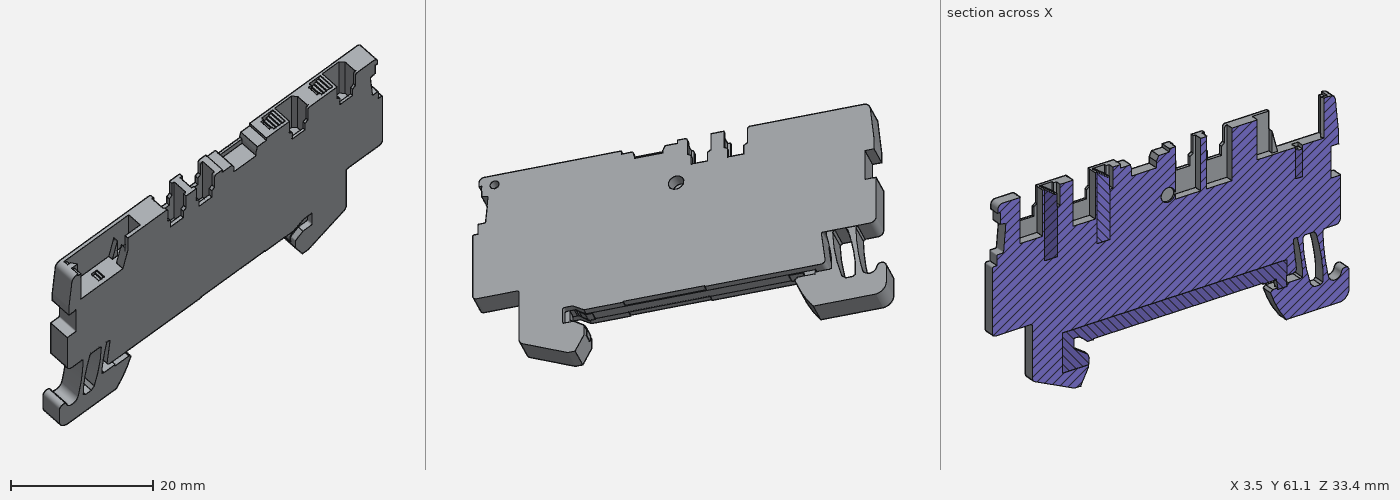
import cadquery as cq
import math

thickness = 3.5
top_z = 33.35
wing_z = 12.5
rail_z = 7.0
hook_notch_z = 8.05
wall = 0.55
rear_y = 30.54
front_y = -29.05
foot_end_y = -30.54
foot_setback = 0.05

notch_width = 3.45
notch_neck_width = 2.4
notch_step_z = 30.4
notch_floor_z = 28.75
notch_step_bevel = 0.2
notch_rounding = 0.45
bridge_slot_length = 4.25
bridge_slot_floor_z = 25.0
bridge_centres = (-2.93, -8.3)
bridge_rounded_sides = (1, -1)

groove_rear_y, groove_front_y = 6.65, 2.5
groove_step_z = 32.8
groove_floor_z = 31.95
groove_relief_width = 0.15
groove_relief_depth = 0.25
groove_pocket_depth = 1.0

wire_pitch = 9.0
wire_count = 2
wire_rear_y = 25.72
wire_length = 3.76
wire_x_min, wire_x_max = 0.4, 3.1
wire_floor_z = 26.0
wire_corner = 0.6
wire_notch_shift = 0.15
button_gap = 0.4
button_length = 2.1
button_x_min, button_x_max = 0.45, 3.0
button_bottom_z = 22.0
button_top_drop = 0.15
button_steps = 5
button_step_drop = 0.3
tool_notch_length = 0.5
tool_notch_x_min, tool_notch_x_max = 0.85, 2.6
tool_notch_floor_z = 30.0

bay_rear_y, bay_neck_y, bay_front_y = -14.78, -17.6, -26.5
bay_neck_length = 0.94
bay_neck_x_min, bay_neck_x_max = 1.3, 2.15
bay_floor_z = 27.0
ramp_top_z = 30.5
rib_length = 0.6
ledge_y = -27.0
ledge_drop = 0.4
clip_y_min, clip_y_max = -22.46, -21.4
clip_x_min, clip_x_max = 1.23, 2.77
clip_bottom_z = 22.0
clip_drop = 0.3
clip_step_y = -21.75

side_holes = ((27.3, 31.7, 1.3, 1.5), (0.48, 26.0, 2.25, 2.0))

plate_x_min, plate_x_max = 1.0, 2.5
plate_top_z = 9.5
plate_rear_y = 18.5
plate_lip = 0.15
leg_rear_y, leg_front_y = -18.0, -19.8
leg_taper = 0.3
leg_tip_z = 5.33


def outline(corners):
    """Closed YZ outline from (y, z) or (y, z, radius) corners, rounded by tangent arcs."""
    count = len(corners)
    path = None
    for i, corner in enumerate(corners):
        here = cq.Vector(corner[0], corner[1])
        radius = corner[2] if len(corner) > 2 else 0
        if radius == 0:
            stops = [here]
        else:
            before = corners[i - 1]
            after = corners[(i + 1) % count]
            to_before = (cq.Vector(before[0], before[1]) - here).normalized()
            to_after = (cq.Vector(after[0], after[1]) - here).normalized()
            half_angle = to_before.getAngle(to_after) / 2
            setback = radius / math.tan(half_angle)
            bisector = (to_before + to_after).normalized()
            middle = here + bisector * (radius / math.sin(half_angle) - radius)
            stops = [here + to_before * setback, middle, here + to_after * setback]
        if path is None:
            path = cq.Workplane("YZ").moveTo(stops[0].x, stops[0].y)
        else:
            path = path.lineTo(stops[0].x, stops[0].y)
        if radius:
            path = path.threePointArc((stops[1].x, stops[1].y), (stops[2].x, stops[2].y))
    return path.close()


def block(x_min, x_max, y_min, y_max, z_min, z_max):
    size = (x_max - x_min, y_max - y_min, z_max - z_min)
    return cq.Workplane("XY").box(*size, centered=False).translate((x_min, y_min, z_min))


def wire_entry_ends():
    return [wire_rear_y - i * wire_pitch for i in range(wire_count)]


def button_rear(entry_rear_y):
    return entry_rear_y - wire_length - button_gap


def housing_profile():
    corners = [
        (29.6, top_z, 0.8), (29.6, 31.9), (29.2, 31.9), (29.2, 30.05),
        (28.25, 29.9, 0.2), (28.65, 25.4, 0.2), (29.75, 25.4, 0.2), (29.75, 23.7),
        (rear_y, 23.7, 0.3), (rear_y, wing_z, 0.6),
        (23.7, wing_z, 0.3), (23.7, 3.4, 0.9), (16.5, 0.12, 0.3), (15.4, 0.12),
        (14.06, 2.7, 0.3), (14.06, 4.35, 0.3), (15.5, 5.35), (17.25, 5.35, 0.3),
        (17.25, hook_notch_z, 0.3), (15.75, hook_notch_z, 0.3), (14.1, rail_z),
        (-21.6, rail_z, 0.6), (-20.95, wing_z, 0.25),
        (front_y, wing_z, 0.9), (front_y, 20.25), (-27.4, 20.25, 0.2),
        (-27.4, 25.25), (-28.75, 25.25), (-28.75, 27.0), (-28.1, top_z, 1.0),
    ]
    return outline(corners).extrude(thickness)


def underside_relief():
    relief_rear_y, relief_front_y = 8.3, -3.7
    return block(0, thickness, relief_front_y, relief_rear_y, rail_z, rail_z + plate_lip)


def snap_foot():
    leg_root_z = wing_z + 0.3
    leg_bend_z = 12.2
    leg_root_flare = 0.25
    trough_z = 3.85
    leg_outer_y = -26.05
    foot = (
        cq.Workplane("YZ")
        .moveTo(-21.6, leg_root_z)
        .lineTo(-21.65, leg_bend_z)
        .threePointArc((-22.15, 9.7), (-22.45, 7.4))
        .lineTo(-22.45, 6.0)
        .lineTo(-22.1, 5.87)
        .lineTo(-20.0, 5.87)
        .lineTo(-20.0, 5.55)
        .lineTo(-17.4, 5.55)
        .lineTo(-17.0, 5.15)
        .threePointArc((-18.15, 2.45), (-19.75, 0))
        .lineTo(-29.0, 0)
        .threePointArc((-30.05, 0.55), (foot_end_y, 1.9))
        .lineTo(foot_end_y, 4.7)
        .threePointArc((-29.83, 5.35), (-29.12, 4.7))
        .threePointArc((-28.1, trough_z), (-27.05, 4.55))
        .lineTo(-26.83, 5.45)
        .threePointArc((-26.4, 7.9), (leg_outer_y, leg_bend_z))
        .lineTo(leg_outer_y - leg_root_flare, wing_z)
        .lineTo(leg_outer_y - leg_root_flare, leg_root_z)
        .close()
        .extrude(thickness - foot_setback)
        .translate((foot_setback, 0, 0))
    )
    window = (
        cq.Workplane("YZ")
        .moveTo(-22.95, wing_z)
        .lineTo(-22.62, leg_bend_z)
        .threePointArc((-23.05, 8.0), (-23.95, 4.4))
        .lineTo(-24.5, trough_z)
        .lineTo(-25.6, trough_z)
        .lineTo(-25.95, 4.15)
        .lineTo(-25.95, 6.2)
        .threePointArc((-25.5, 9.4), (-24.8, leg_bend_z))
        .lineTo(-24.55, wing_z)
        .close()
        .extrude(thickness)
    )
    return foot.cut(window)


def side_notch(centre_y, x_min, x_max, rounded_side):
    """Stepped notch through a side wall, its top edge rounded on the +Y (1) or -Y (-1) side."""
    half = notch_width / 2
    half_neck = notch_neck_width / 2
    above_z = top_z + 1
    flare = half + 2 * notch_rounding
    shape = [
        (flare, above_z), (flare, top_z), (half, top_z, notch_rounding),
        (half, notch_step_z + notch_step_bevel), (half_neck, notch_step_z - notch_step_bevel),
        (half_neck, notch_floor_z), (-half_neck, notch_floor_z),
        (-half_neck, notch_step_z - notch_step_bevel), (-half, notch_step_z + notch_step_bevel),
        (-half, above_z),
    ]
    corners = [(centre_y + rounded_side * y, *rest) for y, *rest in shape]
    return outline(corners).extrude(x_max - x_min).translate((x_min, 0, 0))


def bridge_slot(centre_y, rounded_side):
    half = bridge_slot_length / 2
    shaft = block(wall, thickness - wall, centre_y - half, centre_y + half, bridge_slot_floor_z, top_z)
    return shaft.union(side_notch(centre_y, 0, thickness, rounded_side))


def marker_groove():
    corners = [
        (8.58, top_z), (8.58, groove_step_z), (6.9, groove_step_z), (groove_rear_y, groove_floor_z),
        (groove_front_y, groove_floor_z), (2.1, groove_step_z), (0.28, groove_step_z), (0.28, top_z),
    ]
    groove = outline(corners).extrude(thickness)
    relief = block(0, groove_relief_width, groove_front_y, groove_rear_y,
                   groove_floor_z - groove_relief_depth, groove_floor_z)
    pocket = block(wall, thickness, groove_front_y, groove_rear_y,
                   groove_floor_z - groove_pocket_depth, groove_floor_z)
    return groove.union(relief).union(pocket)


def wire_entry(rear):
    front = rear - wire_length
    shaft = block(wire_x_min, wire_x_max, front, rear, wire_floor_z, top_z)
    shaft = shaft.edges("|Z and <X and >Y").chamfer(wire_corner)
    return shaft.union(side_notch((rear + front) / 2 - wire_notch_shift, wire_x_max, thickness, 1))


def button_shaft(entry_rear):
    rear = button_rear(entry_rear)
    front = rear - button_length
    shaft = block(button_x_min, button_x_max, front, rear, button_bottom_z, top_z)
    tool_notch = block(tool_notch_x_min, tool_notch_x_max, front - tool_notch_length, front,
                       tool_notch_floor_z, top_z)
    return shaft.union(tool_notch)


def front_bay():
    neck_end_y = bay_neck_y - bay_neck_length
    pocket = block(wall, thickness - wall, bay_neck_y, bay_rear_y, bay_floor_z, top_z)
    neck = block(bay_neck_x_min, bay_neck_x_max, neck_end_y, bay_neck_y, bay_floor_z, top_z)
    ramp_corners = [
        (bay_neck_y, ramp_top_z), (neck_end_y, bay_floor_z), (neck_end_y, top_z), (bay_neck_y, top_z),
    ]
    ramps = outline(ramp_corners).extrude(thickness - wall).translate((wall, 0, 0))
    open_bay = block(wall, thickness, bay_front_y, neck_end_y, bay_floor_z, top_z)
    ledge = block(wall, thickness, ledge_y, bay_front_y, top_z - ledge_drop, top_z)
    rib = (
        cq.Workplane("XY", origin=(0, 0, bay_floor_z))
        .moveTo(bay_neck_x_min, ledge_y)
        .lineTo(bay_neck_x_max, ledge_y)
        .lineTo(bay_neck_x_max, bay_front_y + rib_length)
        .lineTo(bay_neck_x_min, bay_front_y)
        .close()
        .extrude(top_z - bay_floor_z)
    )
    clip_slot = block(clip_x_min, clip_x_max, clip_y_min, clip_y_max, clip_bottom_z, bay_floor_z)
    return pocket.union(neck).union(ramps).union(open_bay).union(ledge).cut(rib).union(clip_slot)


def side_hole(y, z, diameter, depth):
    return cq.Workplane("YZ").center(y, z).circle(diameter / 2).extrude(depth)


def make_rail_contact():
    lip_z = rail_z - plate_lip
    corners = [
        (plate_rear_y, plate_top_z), (plate_rear_y, 3.2), (14.0, 3.2), (13.9, 4.2, 0.3), (14.2, 4.9, 0.3),
        (16.5, 6.45), (16.5, hook_notch_z), (15.6, hook_notch_z),
        (14.2, lip_z), (13.2, lip_z), (13.2, rail_z), (-15.8, rail_z), (-15.8, lip_z), (-17.9, lip_z),
        (-17.9, rail_z), (leg_rear_y, rail_z), (leg_rear_y - leg_taper, leg_tip_z),
        (leg_front_y, leg_tip_z), (leg_front_y, plate_top_z),
    ]
    return outline(corners).extrude(plate_x_max - plate_x_min).translate((plate_x_min, 0, 0))


def make_push_button(entry_rear):
    """Plunger whose top descends in steps towards -Y."""
    rear = button_rear(entry_rear)
    step_length = button_length / button_steps
    button = None
    for i in range(button_steps):
        step_top = top_z - button_top_drop - i * button_step_drop
        step_rear = rear - i * step_length
        step_front = step_rear - step_length
        step = block(button_x_min, button_x_max, step_front, step_rear, button_bottom_z, step_top)
        button = step if button is None else button.union(step)
    return button


def make_bay_clip():
    tongue_z = bay_floor_z - clip_drop
    body = block(clip_x_min, clip_x_max, clip_y_min, clip_y_max, clip_bottom_z, tongue_z)
    step = block(clip_x_min, clip_x_max, clip_y_min, clip_step_y, tongue_z - clip_drop, tongue_z)
    return body.cut(step)


def make_housing(rail_contact):
    body = housing_profile().union(snap_foot())
    cuts = [underside_relief(), marker_groove(), front_bay(), rail_contact]
    cuts += [bridge_slot(*slot) for slot in zip(bridge_centres, bridge_rounded_sides)]
    for entry_rear in wire_entry_ends():
        cuts += [wire_entry(entry_rear), button_shaft(entry_rear)]
    cuts += [side_hole(*hole) for hole in side_holes]
    for cut in cuts:
        body = body.cut(cut)
    return body


rail_contact = make_rail_contact()
housing = make_housing(rail_contact)
push_buttons = [make_push_button(entry_rear) for entry_rear in wire_entry_ends()]
bay_clip = make_bay_clip()

result = cq.Compound.makeCompound(
    [housing.solids().val(), rail_contact.val(), *[button.val() for button in push_buttons], bay_clip.val()]
)